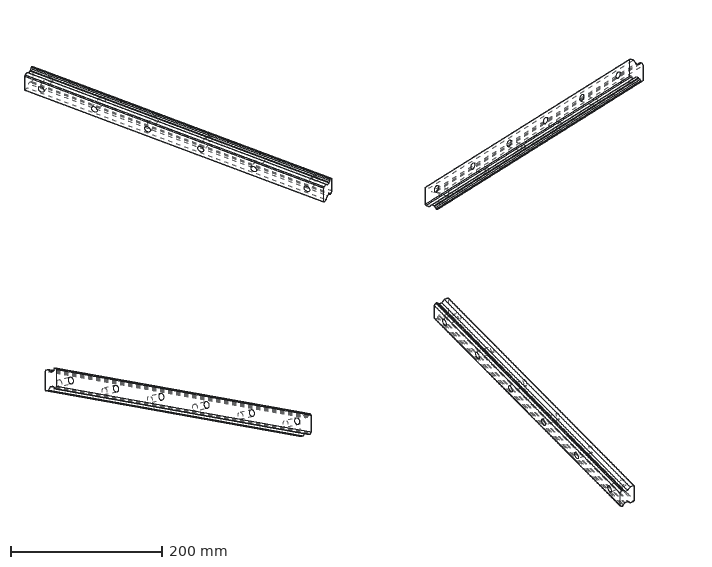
import cadquery as cq

length = 450.0
depth = 23.0
height = 28.0

front_chamfer = 1.5
back_chamfer = 2.5

groove_start = 6.8
groove_floor_start = 11.0
groove_floor_end = 15.0
ledge_start = 15.5
ledge_end = 17.5
groove_end = 18.0
groove_depth = 4.0
ledge_start_depth = 3.0
ledge_end_depth = 2.2

hole_count = 6
end_margin = 25.0
hole_pitch = (length - 2 * end_margin) / (hole_count - 1)
hole_diameter = 9.0


def profile():
    """Rail cross-section in YZ, symmetric about the mid-height plane."""
    half_height = height / 2
    front = -depth / 2
    back = depth / 2
    floor = half_height - groove_depth
    upper = [
        (front, half_height - front_chamfer),
        (front + front_chamfer, half_height),
        (front + groove_start, half_height),
        (front + groove_floor_start, floor),
        (front + groove_floor_end, floor),
        (front + ledge_start, half_height - ledge_start_depth),
        (front + ledge_end, half_height - ledge_end_depth),
        (front + groove_end, half_height),
        (back - back_chamfer, half_height),
        (back, half_height - back_chamfer),
    ]
    lower = [(y, -z) for y, z in reversed(upper)]
    return cq.Workplane("YZ").polyline(upper + lower).close()


def holes():
    """Evenly spaced cylinders along X, passing through the depth."""
    return (
        cq.Workplane("XZ")
        .rarray(hole_pitch, 4.5, hole_count, 1)
        .circle(hole_diameter / 2)
        .extrude(depth / 2, both=True)
    )


rail = profile().extrude(length / 2, both=True)
result = rail.cut(holes())